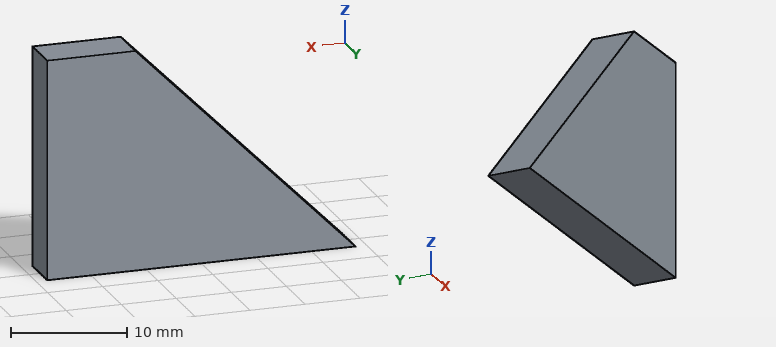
import cadquery as cq

length = 28.0
height = 20.0
thickness = 4.0

slope_run = height

profile = [
    (0, 0),
    (length, 0),
    (length, height),
    (slope_run, height),
]

result = cq.Workplane("XZ").polyline(profile).close().extrude(-thickness)